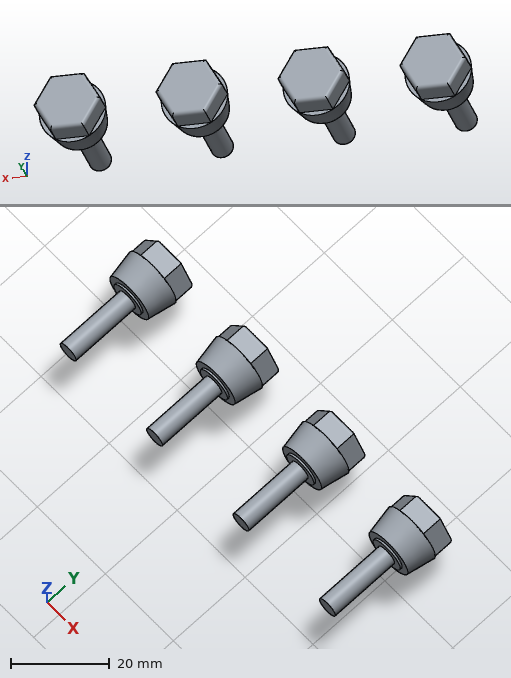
import cadquery as cq

screw_count = 4
row_length = 90.1
total_length = 28.5

head_diameter = 13.9
hex_length = 4.95
hex_fillet = 0.8
collar_length = 6.5
collar_tip_diameter = 11.4

washer_diameter = 8.0
washer_length = 0.495
shank_diameter = 4.7

shank_length = total_length - hex_length - collar_length - washer_length
screw_pitch = (row_length - head_diameter) / (screw_count - 1)

collar_start = hex_length
washer_start = collar_start + collar_length
shank_start = washer_start + washer_length


def cylinder(start, diameter, length):
    return cq.Workplane("XY").workplane(offset=start).circle(diameter / 2).extrude(length)


def make_hex_head():
    """Hexagon with corners on +X and -X and a rounded rim on the outer face."""
    hexagon = cq.Workplane("XY").polygon(6, head_diameter).extrude(hex_length)
    return hexagon.faces("<Z").edges().fillet(hex_fillet)


def make_collar():
    """Collar that narrows from the hexagon toward the washer step."""
    return (
        cq.Workplane("XY")
        .workplane(offset=collar_start)
        .circle(head_diameter / 2)
        .workplane(offset=collar_length)
        .circle(collar_tip_diameter / 2)
        .loft()
    )


def make_screw():
    """One screw, with its axis along Y and the middle of its length at Y = 0."""
    washer = cylinder(washer_start, washer_diameter, washer_length)
    shank = cylinder(shank_start, shank_diameter, shank_length)
    upright = make_hex_head().union(make_collar()).union(washer).union(shank)
    lying = upright.rotate((0, 0, 0), (1, 0, 0), 90)
    return lying.translate((0, total_length / 2, 0))


screw = make_screw()
screws = []
for index in range(screw_count):
    offset = (index - (screw_count - 1) / 2) * screw_pitch
    screws.append(screw.translate((offset, 0, 0)).val())

result = cq.Compound.makeCompound(screws)